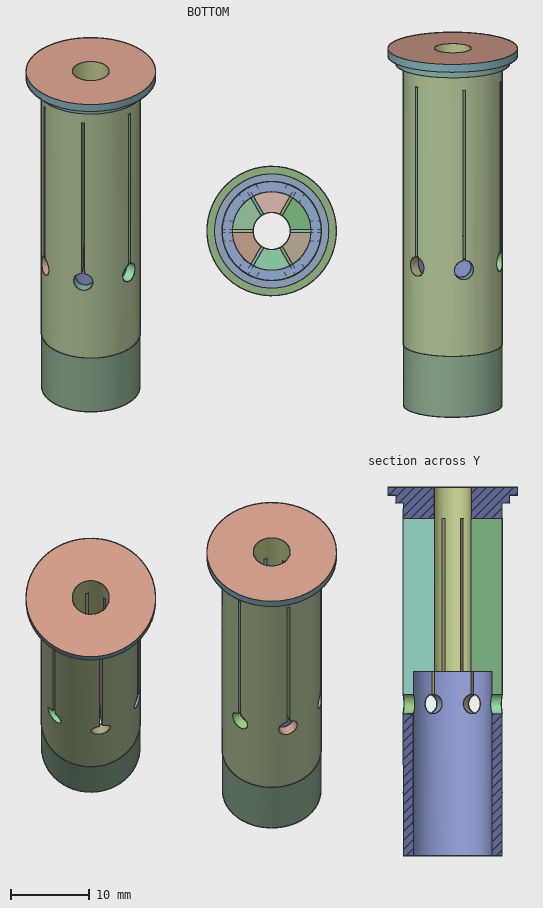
import cadquery as cq

length = 47.0
body_diameter = 12.7
bore_diameter = 4.7

counterbore_diameter = 10.0
counterbore_depth = 23.5

flange_diameter = 16.55
flange_thickness = 1.05
collar_diameter = 14.55
collar_thickness = 1.0

tail_length = 8.05
tail_diameter = 12.6

slit_count = 6
slit_width = 0.38
slit_top_gap = 1.97
relief_diameter = 2.5
relief_height = 19.35

body_top = length - flange_thickness - collar_thickness
slit_top = body_top - slit_top_gap
slit_length = slit_top - relief_height


def disc(diameter, bottom, height):
    return cq.Workplane("XY").workplane(offset=bottom).circle(diameter / 2).extrude(height)


def slit_cutter():
    """Slit and relief hole running outward from the axis along +X."""
    reach = body_diameter
    slit = cq.Workplane("XY").box(reach, slit_width, slit_length, centered=(False, True, False))
    slit = slit.translate((0, 0, relief_height))
    relief = (
        cq.Workplane("YZ")
        .center(0, relief_height)
        .circle(relief_diameter / 2)
        .extrude(reach)
    )
    return slit.union(relief)


sleeve = disc(tail_diameter, 0, tail_length)
sleeve = sleeve.union(disc(body_diameter, tail_length, body_top - tail_length))
sleeve = sleeve.union(disc(collar_diameter, body_top, collar_thickness))
sleeve = sleeve.union(disc(flange_diameter, length - flange_thickness, flange_thickness))

sleeve = sleeve.cut(disc(bore_diameter, 0, length))
sleeve = sleeve.cut(disc(counterbore_diameter, 0, counterbore_depth))

cutter = slit_cutter()
for index in range(slit_count):
    angle = index * 360 / slit_count
    sleeve = sleeve.cut(cutter.rotate((0, 0, 0), (0, 0, 1), angle))

result = sleeve.translate((0, 0, -length / 2))